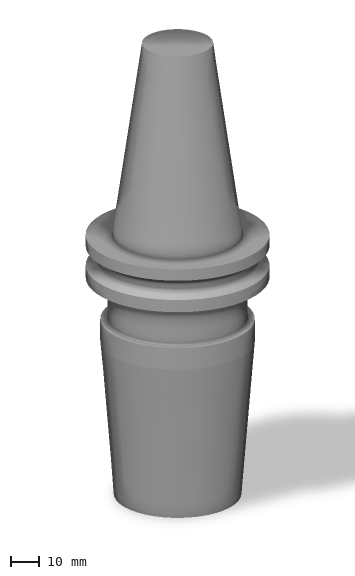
import cadquery as cq

total_height = 168.4
nose_taper_top = 57.3
collar_top = 65.3
flange_bottom = 80.8
flange_top = 96.8

nose_diameter = 44.1
collar_diameter = 53.4
neck_diameter = 48.5
flange_diameter = 63.5
groove_diameter = 56.0
shank_base_diameter = 45.3
shank_tip_diameter = 24.6

lower_rim_height = 4.5
upper_rim_height = 4.2
groove_flank_height = 2.2

neck_fillet = 0.8
groove_fillet = 0.8

lower_rim_top = flange_bottom + lower_rim_height
upper_rim_bottom = flange_top - upper_rim_height

profile = [
    (nose_diameter, 0),
    (collar_diameter, nose_taper_top),
    (collar_diameter, collar_top),
    (neck_diameter, collar_top),
    (neck_diameter, flange_bottom),
    (flange_diameter, flange_bottom),
    (flange_diameter, lower_rim_top),
    (groove_diameter, lower_rim_top + groove_flank_height),
    (groove_diameter, upper_rim_bottom - groove_flank_height),
    (flange_diameter, upper_rim_bottom),
    (flange_diameter, flange_top),
    (shank_base_diameter, flange_top),
    (shank_tip_diameter, total_height),
]

outline = cq.Workplane("XZ").moveTo(0, 0)
for diameter, height in profile:
    outline = outline.lineTo(diameter / 2, height)
body = outline.lineTo(0, total_height).close().revolve(360, (0, 0, 0), (0, 1, 0))


def fillet_corner(solid, diameter, height, radius):
    """Fillet the circular edge of the given diameter at the given height."""
    reach = diameter / 2 + radius / 2
    edge = solid.edges(cq.selectors.BoxSelector(
        (-reach, -reach, height - radius / 4),
        (reach, reach, height + radius / 4),
        boundingbox=True,
    ))
    return edge.fillet(radius)


groove_floor_bottom = lower_rim_top + groove_flank_height
groove_floor_top = upper_rim_bottom - groove_flank_height

body = fillet_corner(body, neck_diameter, collar_top, neck_fillet)
body = fillet_corner(body, neck_diameter, flange_bottom, neck_fillet)
body = fillet_corner(body, groove_diameter, groove_floor_bottom, groove_fillet)
result = fillet_corner(body, groove_diameter, groove_floor_top, groove_fillet)